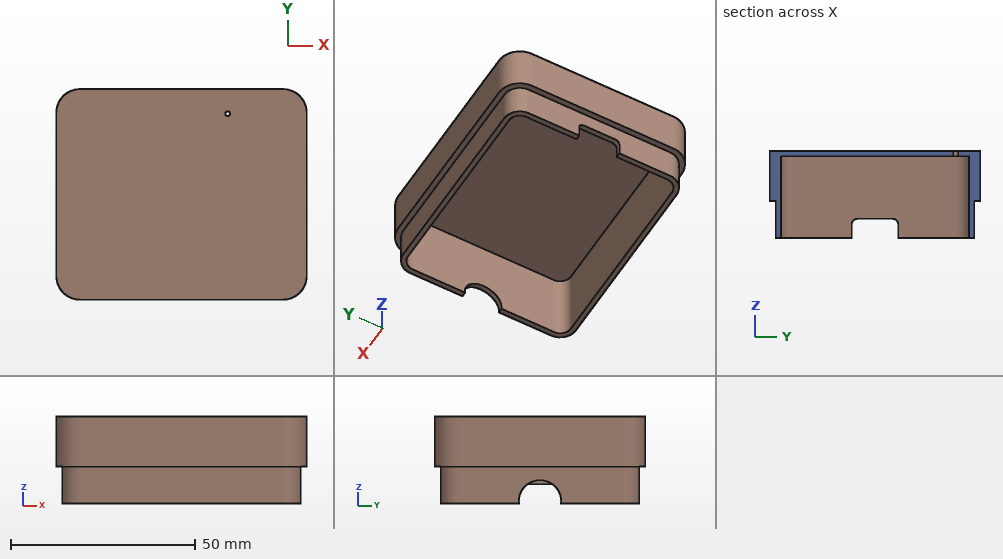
import cadquery as cq

length = 68.0
width = 57.2
height = 23.65
corner_radius = 6.5

skirt_height = 10.0
skirt_inset = 1.6

wall = 1.5
roof = 1.5

notch_width = 12.6
notch_height = 5.2
notch_radius = 1.5

opening_radius = 5.7
opening_center_z = 0.6

pinhole_diameter = 1.2
pinhole_x = 12.5
pinhole_y = 21.9


def rounded_block(inset, bottom, top):
    """Block set in from the outer outline, keeping the same corner centers."""
    return (
        cq.Workplane("XY", origin=(0, 0, bottom))
        .rect(length - 2 * inset, width - 2 * inset)
        .extrude(top - bottom)
        .edges("|Z")
        .fillet(corner_radius - inset)
    )


cover = rounded_block(0, skirt_height, height)
skirt = rounded_block(skirt_inset, 0, skirt_height)
cavity = rounded_block(skirt_inset + wall, 0, height - roof)
shell = cover.union(skirt).cut(cavity)

notch = (
    cq.Workplane("XY")
    .box(length / 2, notch_width, notch_height, centered=(True, True, False))
    .edges("|X and >Z")
    .fillet(notch_radius)
    .translate((-length / 4, 0, 0))
)
opening = (
    cq.Workplane("YZ")
    .center(0, opening_center_z)
    .circle(opening_radius)
    .extrude(length / 2)
)

pinhole = (
    cq.Workplane("XY", origin=(pinhole_x, pinhole_y, height - 2 * roof))
    .circle(pinhole_diameter / 2)
    .extrude(2 * roof)
)

result = shell.cut(notch).cut(opening).cut(pinhole)